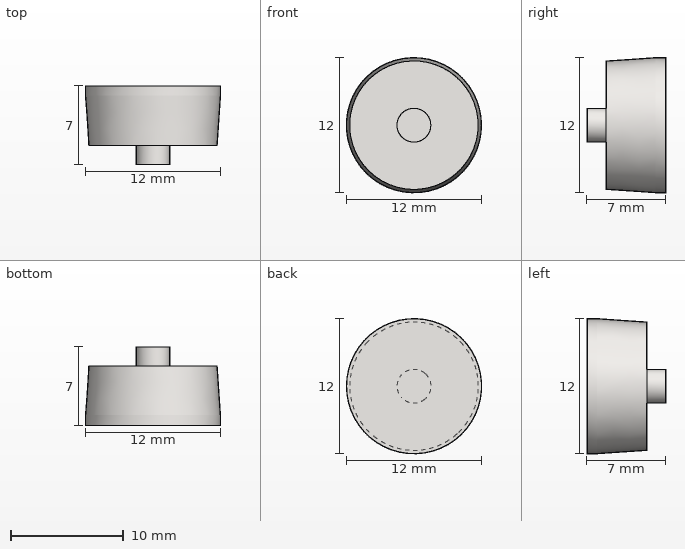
import cadquery as cq

rim_diameter = 12.0
rim_width = 0.9
face_diameter = 11.4
body_depth = 5.3
pin_diameter = 3.0
total_depth = 7.0

rim_radius = rim_diameter / 2
face_radius = face_diameter / 2
pin_length = total_depth - body_depth


def make_body():
    """Round knob: straight rim at the back, tapering to the front face."""
    profile = (
        cq.Workplane("XY")
        .lineTo(rim_radius, 0)
        .lineTo(rim_radius, -rim_width)
        .lineTo(face_radius, -body_depth)
        .lineTo(0, -body_depth)
        .close()
    )
    return profile.revolve(360, (0, 0, 0), (0, 1, 0))


def make_pin():
    """Plain pin standing out from the centre of the front face."""
    face_plane = cq.Workplane("XZ", origin=(0, -body_depth, 0))
    return face_plane.circle(pin_diameter / 2).extrude(pin_length)


result = make_body().union(make_pin())